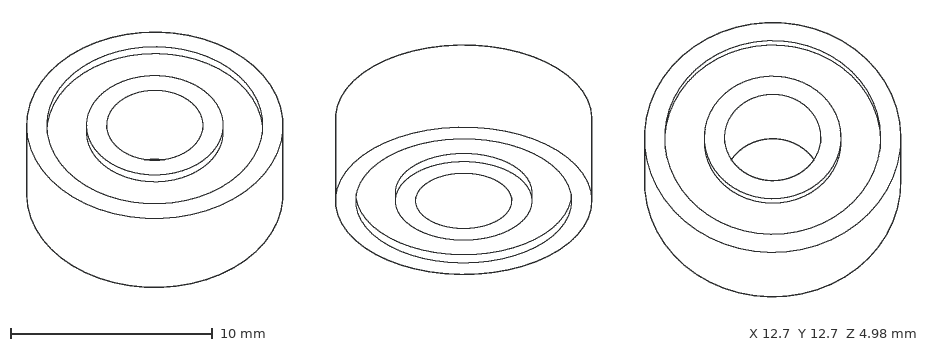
import cadquery as cq

outer_diameter = 12.7
bore_diameter = 4.76
width = 4.98
ring_thickness = 1.0
recess_depth = 0.5

inner_ring_diameter = bore_diameter + 2 * ring_thickness
outer_ring_bore = outer_diameter - 2 * ring_thickness


def annulus(outside, inside, height):
    """Ring centred on the origin, with its axis along Z."""
    return (
        cq.Workplane("XY", origin=(0, 0, -height / 2))
        .circle(outside / 2)
        .circle(inside / 2)
        .extrude(height)
    )


result = annulus(outer_diameter, bore_diameter, width)

recess = annulus(outer_ring_bore, inner_ring_diameter, recess_depth)
for side in (1, -1):
    recess_centre = side * (width - recess_depth) / 2
    result = result.cut(recess.translate((0, 0, recess_centre)))